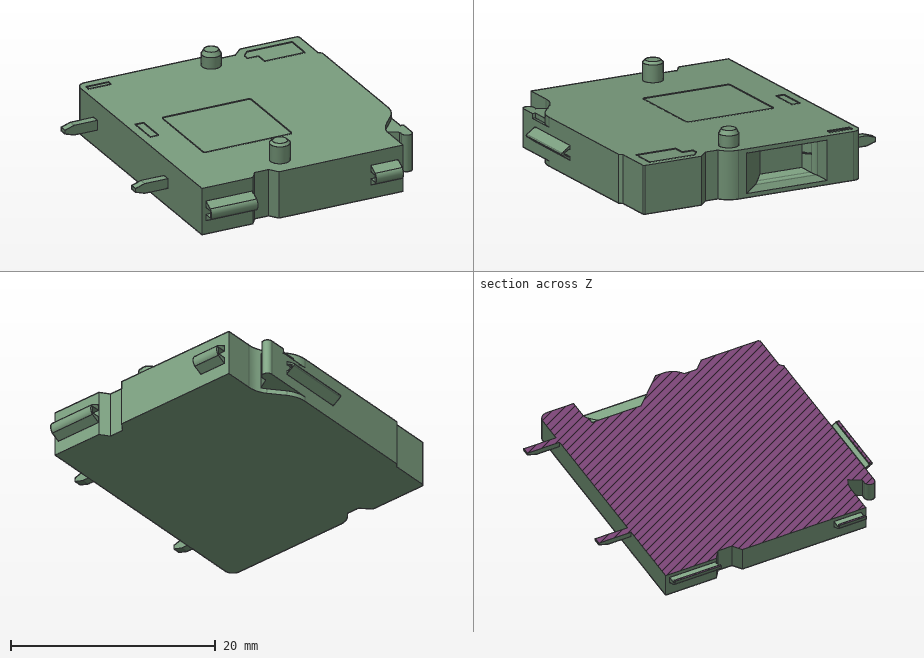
import cadquery as cq
import math

WIDTH = 27.05
HEIGHT = 24.75
THICKNESS = 5.0
MID_Z = THICKNESS / 2

STEP_DROP = 0.32
STEP_START_X = 4.15
LEFT_CORNER_CHAMFER = 0.15
LEFT_NOTCH_DEPTH = 1.03
LEFT_NOTCH_TOP_Y = 18.0
SHOULDER_RADIUS = 2.0
SHOULDER_Y = 13.83
BOTTOM_CORNER_RADIUS = 1.0

RIGHT_NOTCH_DEPTH = 0.95
RIGHT_NOTCH_Y = 7.03
RIGHT_NOTCH_HALF_MOUTH = 1.45
RIGHT_NOTCH_HALF_FLOOR = 0.75

RAMP_END_X = 23.95
RAMP_END_Y = 22.1
RAMP_RADIUS = 3.0
RAMP_ANGLE = math.radians(40)

LEVER_INSET_Z = 0.53
LEVER_ROOT_X = 18.17
LEVER_ROOT_Y = 21.68
LEVER_TIP_X = 23.67
LEVER_TIP_RADIUS = 0.55
LEVER_NECK_X = 23.25
LEVER_NECK_FOOT_X = 22.1
LEVER_STEP_X = 21.9
LEVER_STEP_WIDTH = 0.32
LEVER_STEP_DEPTH = 0.5

PEGS = [
    (SHOULDER_RADIUS, SHOULDER_Y, 1.0, 1.7, 0.47, 0.73),
    (24.52, 9.85, 1.03, 2.08, 0.25, 0.75),
]

PIN_LEFT_EDGES = [3.75, 18.9]
PIN_WIDTH = 0.82
PIN_LENGTH = 3.55
PIN_STRAIGHT = 2.55
PIN_HALF_HEIGHT = 0.53
PIN_TIP_HALF_HEIGHT = 0.2

TOP_CLIP_X = (14.27, 21.4)
TOP_CLIP_REACH = 1.0
TOP_CLIP_ROOT_HALF = 0.75
TOP_CLIP_NOSE_START = 0.9
TOP_CLIP_NOSE_HALF = 0.12
TOP_CLIP_OPENING_HALF = 0.38
TOP_CLIP_OPENING_STRAIGHT = 0.2
TOP_CLIP_OPENING_DEPTH = 0.65
TOP_CLIP_OPENING_END_HALF = 0.1
RIGHT_CLIPS_Y = [(0.45, 5.55), (18.55, 21.55)]
RIGHT_CLIP_REACH = 1.2
RIGHT_CLIP_ROOT_HALF = 1.05
RIGHT_CLIP_NOSE_START = 0.95
RIGHT_CLIP_NOSE_HALF = 0.6
RIGHT_CLIP_OPENING_HALF = 0.38

ENTRY_LOW_Y = 3.93
ENTRY_HIGH_Y = 12.95
ENTRY_WALL = 0.45
ENTRY_DEPTH = 3.35
ENTRY_BEND_RADIUS = 1.0
FACE_WALL_STRAIGHT = 2.17
FACE_WALL_ANGLE = math.radians(34)
SIDE_WALL_STRAIGHT = 1.93
SIDE_WALL_ANGLE = math.radians(45)
SEAM_WIDTH = 0.12

RECESS_DEPTH = 0.1
LABEL_X = (10.6, 19.7)
LABEL_Y = (3.98, 13.7)
LABEL_CORNER_RADIUS = 0.25
SLOTS = [
    ((10.8, 14.1), (0.97, 1.88)),
    ((0.88, 1.46), (0.65, 3.1)),
]
KEY_MARK = [(0.8, 23.32), (3.57, 23.32), (3.57, 18.9), (2.23, 18.9), (2.23, 17.7), (1.55, 17.7), (0.8, 18.35)]

OVERLAP = 0.3


def box_between(x_range, y_range, z_range):
    sizes = [high - low for low, high in (x_range, y_range, z_range)]
    corner = (x_range[0], y_range[0], z_range[0])
    return cq.Workplane("XY", origin=corner).box(*sizes, centered=False)


def make_housing():
    step_y = HEIGHT - STEP_DROP

    arc_run = RAMP_RADIUS * math.sin(RAMP_ANGLE)
    arc_rise = RAMP_RADIUS * (1 - math.cos(RAMP_ANGLE))
    half_arc_run = RAMP_RADIUS * math.sin(RAMP_ANGLE / 2)
    half_arc_rise = RAMP_RADIUS * (1 - math.cos(RAMP_ANGLE / 2))
    slope_rise = HEIGHT - RAMP_END_Y - 2 * arc_rise
    ramp_start_x = RAMP_END_X - 2 * arc_run - slope_rise / math.tan(RAMP_ANGLE)

    shoulder_end = math.acos((SHOULDER_RADIUS - LEFT_NOTCH_DEPTH) / SHOULDER_RADIUS)
    shoulder_mid = (
        SHOULDER_RADIUS * (1 - math.cos(shoulder_end / 2)),
        SHOULDER_Y + SHOULDER_RADIUS * math.sin(shoulder_end / 2),
    )
    shoulder_top_y = SHOULDER_Y + SHOULDER_RADIUS * math.sin(shoulder_end)

    corner_offset = BOTTOM_CORNER_RADIUS * (1 - math.sqrt(0.5))
    right_floor_x = WIDTH - RIGHT_NOTCH_DEPTH

    outline = (
        cq.Workplane("XY")
        .moveTo(BOTTOM_CORNER_RADIUS, 0)
        .lineTo(WIDTH, 0)
        .lineTo(WIDTH, RIGHT_NOTCH_Y - RIGHT_NOTCH_HALF_MOUTH)
        .lineTo(right_floor_x, RIGHT_NOTCH_Y - RIGHT_NOTCH_HALF_FLOOR)
        .lineTo(right_floor_x, RIGHT_NOTCH_Y + RIGHT_NOTCH_HALF_FLOOR)
        .lineTo(WIDTH, RIGHT_NOTCH_Y + RIGHT_NOTCH_HALF_MOUTH)
        .lineTo(WIDTH, RAMP_END_Y)
        .lineTo(RAMP_END_X, RAMP_END_Y)
        .threePointArc(
            (RAMP_END_X - half_arc_run, RAMP_END_Y + half_arc_rise),
            (RAMP_END_X - arc_run, RAMP_END_Y + arc_rise),
        )
        .lineTo(ramp_start_x + arc_run, HEIGHT - arc_rise)
        .threePointArc((ramp_start_x + half_arc_run, HEIGHT - half_arc_rise), (ramp_start_x, HEIGHT))
        .lineTo(STEP_START_X + STEP_DROP, HEIGHT)
        .lineTo(STEP_START_X, step_y)
        .lineTo(LEFT_CORNER_CHAMFER, step_y)
        .lineTo(0, step_y - LEFT_CORNER_CHAMFER)
        .lineTo(0, LEFT_NOTCH_TOP_Y)
        .lineTo(LEFT_NOTCH_DEPTH, LEFT_NOTCH_TOP_Y - LEFT_NOTCH_DEPTH)
        .lineTo(LEFT_NOTCH_DEPTH, shoulder_top_y)
        .threePointArc(shoulder_mid, (0, SHOULDER_Y))
        .lineTo(0, BOTTOM_CORNER_RADIUS)
        .threePointArc((corner_offset, corner_offset), (BOTTOM_CORNER_RADIUS, 0))
        .close()
    )
    return outline.extrude(THICKNESS)


def make_lever():
    tip_y = HEIGHT - LEVER_TIP_RADIUS
    tip_bottom_y = HEIGHT - 2 * LEVER_TIP_RADIUS
    lever = (
        cq.Workplane("XY", origin=(0, 0, LEVER_INSET_Z))
        .moveTo(LEVER_ROOT_X, LEVER_ROOT_Y)
        .lineTo(LEVER_ROOT_X, HEIGHT)
        .lineTo(LEVER_TIP_X, HEIGHT)
        .threePointArc((LEVER_TIP_X + LEVER_TIP_RADIUS, tip_y), (LEVER_TIP_X, tip_bottom_y))
        .lineTo(LEVER_NECK_X, tip_bottom_y)
        .lineTo(LEVER_NECK_FOOT_X, LEVER_ROOT_Y)
        .close()
        .extrude(THICKNESS - 2 * LEVER_INSET_Z)
    )
    step = box_between(
        (LEVER_ROOT_X, LEVER_STEP_X),
        (HEIGHT - LEVER_STEP_WIDTH, HEIGHT),
        (THICKNESS - LEVER_INSET_Z - LEVER_STEP_DEPTH, THICKNESS),
    )
    return lever.cut(step)


def make_peg(x, y, radius, height, taper_height, tip_radius):
    profile = [
        (0, -OVERLAP),
        (radius, -OVERLAP),
        (radius, height - taper_height),
        (tip_radius, height),
        (0, height),
    ]
    peg = cq.Workplane("XZ").polyline(profile).close().revolve(360, (0, 0), (0, 1))
    return peg.translate((x, y, THICKNESS))


def make_pin(left_x):
    profile = [
        (OVERLAP, MID_Z - PIN_HALF_HEIGHT),
        (-PIN_STRAIGHT, MID_Z - PIN_HALF_HEIGHT),
        (-PIN_LENGTH, MID_Z - PIN_TIP_HALF_HEIGHT),
        (-PIN_LENGTH, MID_Z + PIN_TIP_HALF_HEIGHT),
        (-PIN_STRAIGHT, MID_Z + PIN_HALF_HEIGHT),
        (OVERLAP, MID_Z + PIN_HALF_HEIGHT),
    ]
    return cq.Workplane("YZ", origin=(left_x, 0, 0)).polyline(profile).close().extrude(PIN_WIDTH)


def make_top_clip():
    outer = [
        (-OVERLAP, TOP_CLIP_ROOT_HALF),
        (0, TOP_CLIP_ROOT_HALF),
        (TOP_CLIP_NOSE_START, TOP_CLIP_NOSE_HALF),
        (TOP_CLIP_REACH, 0),
        (TOP_CLIP_NOSE_START, -TOP_CLIP_NOSE_HALF),
        (0, -TOP_CLIP_ROOT_HALF),
        (-OVERLAP, -TOP_CLIP_ROOT_HALF),
    ]
    inner = [
        (0, TOP_CLIP_OPENING_HALF),
        (TOP_CLIP_OPENING_STRAIGHT, TOP_CLIP_OPENING_HALF),
        (TOP_CLIP_OPENING_DEPTH, TOP_CLIP_OPENING_END_HALF),
        (TOP_CLIP_OPENING_DEPTH, -TOP_CLIP_OPENING_END_HALF),
        (TOP_CLIP_OPENING_STRAIGHT, -TOP_CLIP_OPENING_HALF),
        (0, -TOP_CLIP_OPENING_HALF),
    ]
    plane = cq.Workplane("YZ", origin=(TOP_CLIP_X[0], HEIGHT, MID_Z))
    length = TOP_CLIP_X[1] - TOP_CLIP_X[0]
    loop = plane.polyline(outer).close().extrude(length)
    return loop.cut(plane.polyline(inner).close().extrude(length))


def make_right_clip(low_y, high_y):
    plane = cq.Workplane("XZ", origin=(WIDTH, high_y, MID_Z))
    loop = (
        plane.moveTo(-OVERLAP, -RIGHT_CLIP_ROOT_HALF)
        .lineTo(0, -RIGHT_CLIP_ROOT_HALF)
        .lineTo(RIGHT_CLIP_NOSE_START, -RIGHT_CLIP_NOSE_HALF)
        .threePointArc((RIGHT_CLIP_REACH, 0), (RIGHT_CLIP_NOSE_START, RIGHT_CLIP_NOSE_HALF))
        .lineTo(0, RIGHT_CLIP_ROOT_HALF)
        .lineTo(-OVERLAP, RIGHT_CLIP_ROOT_HALF)
        .close()
        .extrude(high_y - low_y)
    )
    opening = box_between(
        (WIDTH, WIDTH + RIGHT_CLIP_NOSE_START),
        (low_y, high_y),
        (MID_Z - RIGHT_CLIP_OPENING_HALF, MID_Z + RIGHT_CLIP_OPENING_HALF),
    )
    return loop.cut(opening)


def bent_wall(straight, angle):
    """Depth and inset of a wall that runs straight, bends inwards and slopes to the pocket floor.

    Returns the bend start, bend middle, bend end and floor points.
    """
    def bend_point(turn):
        depth = straight + ENTRY_BEND_RADIUS * math.sin(turn)
        return depth, ENTRY_BEND_RADIUS * (1 - math.cos(turn))

    start, middle, end = (bend_point(turn) for turn in (0, angle / 2, angle))
    floor = (ENTRY_DEPTH, end[1] + (ENTRY_DEPTH - end[0]) * math.tan(angle))
    return start, middle, end, floor


def make_wire_entry():
    low_z = ENTRY_WALL
    high_z = THICKNESS - ENTRY_WALL

    face = bent_wall(FACE_WALL_STRAIGHT, FACE_WALL_ANGLE)
    lower = [(depth, low_z + inset) for depth, inset in face]
    upper = [(depth, high_z - inset) for depth, inset in face]
    section = (
        cq.Workplane("XZ", origin=(0, ENTRY_HIGH_Y, 0))
        .moveTo(0, low_z)
        .lineTo(*lower[0])
        .threePointArc(lower[1], lower[2])
        .lineTo(*lower[3])
        .lineTo(*upper[3])
        .lineTo(*upper[2])
        .threePointArc(upper[1], upper[0])
        .lineTo(0, high_z)
        .close()
        .extrude(ENTRY_HIGH_Y - ENTRY_LOW_Y)
    )

    side = [(depth, ENTRY_LOW_Y + inset) for depth, inset in bent_wall(SIDE_WALL_STRAIGHT, SIDE_WALL_ANGLE)]
    plan = (
        cq.Workplane("XY")
        .moveTo(0, ENTRY_LOW_Y)
        .lineTo(*side[0])
        .threePointArc(side[1], side[2])
        .lineTo(*side[3])
        .lineTo(ENTRY_DEPTH, ENTRY_HIGH_Y - ENTRY_DEPTH)
        .lineTo(0, ENTRY_HIGH_Y)
        .close()
        .extrude(THICKNESS)
    )

    seam = box_between(
        (side[2][0], ENTRY_DEPTH),
        (side[2][1], side[3][1]),
        (MID_Z - SEAM_WIDTH / 2, MID_Z + SEAM_WIDTH / 2),
    )
    return section.intersect(plan).union(seam)


def make_recesses():
    recess_z = (THICKNESS - RECESS_DEPTH, THICKNESS)
    recesses = box_between(LABEL_X, LABEL_Y, recess_z).edges("|Z").fillet(LABEL_CORNER_RADIUS)
    for x_range, y_range in SLOTS:
        recesses = recesses.add(box_between(x_range, y_range, recess_z))
    key_plane = cq.Workplane("XY", origin=(0, 0, recess_z[0]))
    recesses = recesses.add(key_plane.polyline(KEY_MARK).close().extrude(RECESS_DEPTH))
    return recesses.combine()


result = make_housing().union(make_lever()).union(make_top_clip())
for clip_y in RIGHT_CLIPS_Y:
    result = result.union(make_right_clip(*clip_y))
for pin_x in PIN_LEFT_EDGES:
    result = result.union(make_pin(pin_x))
for peg in PEGS:
    result = result.union(make_peg(*peg))
result = result.cut(make_wire_entry()).cut(make_recesses())